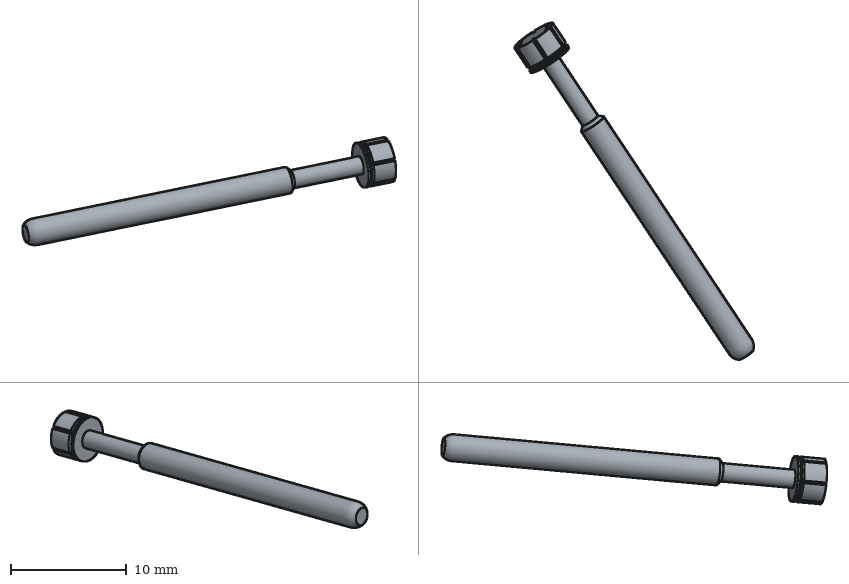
import cadquery as cq
import math

total_length = 33.6

head_radius = 3.95 / 2
head_length = 2.55
flange_length = 0.22

groove_depth = 0.17
groove_width = 2 * groove_depth

slot_count = 6
slot_width = 0.2
slot_depth = 0.5

neck_radius = 1.6 / 2
neck_length = 6.4
body_radius = 2.35 / 2

tip_length = 0.87

head_bottom = total_length - head_length
groove_bottom = head_bottom + flange_length
groove_middle = groove_bottom + groove_width / 2
groove_top = groove_bottom + groove_width
neck_bottom = head_bottom - neck_length
shoulder_bottom = neck_bottom - (body_radius - neck_radius)


def tip_surface_radius(y):
    """Distance of the spherical tip surface from the axis at station y."""
    return math.sqrt(body_radius**2 - (tip_length - y) ** 2)


def make_turned_pin():
    """Revolve the half profile of tip, body, neck and head about Y."""
    tip_middle = tip_length / 2
    profile = (
        cq.Workplane("XY")
        .moveTo(0, 0)
        .lineTo(tip_surface_radius(0), 0)
        .threePointArc((tip_surface_radius(tip_middle), tip_middle), (body_radius, tip_length))
        .lineTo(body_radius, shoulder_bottom)
        .lineTo(neck_radius, neck_bottom)
        .lineTo(neck_radius, head_bottom)
        .lineTo(head_radius, head_bottom)
        .lineTo(head_radius, groove_bottom)
        .lineTo(head_radius - groove_depth, groove_middle)
        .lineTo(head_radius, groove_top)
        .lineTo(head_radius, total_length)
        .lineTo(0, total_length)
        .close()
    )
    return profile.revolve(360, (0, 0, 0), (0, 1, 0))


def make_slot_cutter(angle):
    """Box cutting one slot from the end face into the V-groove; angle 0 faces +Z."""
    slot_length = total_length - groove_middle
    cutter = (
        cq.Workplane("XY")
        .box(slot_width, slot_length, 2 * slot_depth, centered=(True, False, True))
        .translate((0, groove_middle, head_radius))
    )
    return cutter.rotate((0, 0, 0), (0, 1, 0), angle)


result = make_turned_pin()
for slot_index in range(slot_count):
    result = result.cut(make_slot_cutter(slot_index * 360 / slot_count))